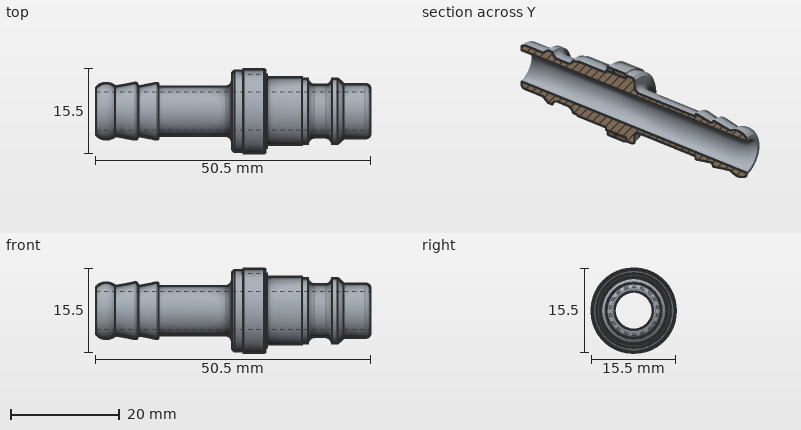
import cadquery as cq
import math


total_length = 50.5
hose_end_x = -total_length / 2
bore_diameter = 7.0

tail_diameter = 9.1
tail_length = 25.0
bead_diameter = 10.4
bead_radius = 2.4
bead_peak = 1.9
barb_tip_diameter = 10.56
barb_tip_fillet = 0.3
first_barb_tip = 7.43
second_barb_root = 7.83
second_barb_tip = 11.47

collar_diameter = 15.0
collar_length = 2.0
collar_chamfer = 0.5
collar_fillet = 1.05
seat_diameter = 13.6
seat_length = 4.5

ring_diameter = 15.5
ring_length = 4.1
ring_chamfer = 0.25
ring_gap = 0.1

barrel_diameter = 12.5
barrel_end = 37.9
shoulder_length = 1.05
rib_diameter = 12.0
rib_start = 43.4
rib_width = 1.05
rib_ramp_length = 1.1
neck_diameter = 9.75
nose_diameter = 10.0
nose_fillet = 1.0

bore_r = bore_diameter / 2
tail_r = tail_diameter / 2
bead_r = bead_diameter / 2
barb_tip_r = barb_tip_diameter / 2
collar_r = collar_diameter / 2
seat_r = seat_diameter / 2
barrel_r = barrel_diameter / 2
rib_r = rib_diameter / 2
neck_r = neck_diameter / 2
nose_r = nose_diameter / 2

collar_end = tail_length + collar_length
seat_end = collar_end + seat_length
shoulder_end = barrel_end + shoulder_length
rib_end = rib_start + rib_width
neck_fillet = rib_r - neck_r


def arc_point(center_x, center_r, radius, degrees):
    """Point of a circle in the profile plane; 0 degrees points along +X, 90 points outward."""
    angle = math.radians(degrees)
    return (center_x + radius * math.cos(angle), center_r + radius * math.sin(angle))


def add_hose_tail(profile):
    """Bead, barbs with sharp tips, and the tube with its fillet into the collar."""
    bead_center_r = bead_r - bead_radius
    bead_face_r = bead_center_r + math.sqrt(bead_radius**2 - bead_peak**2)
    bead_end = bead_peak + math.sqrt(bead_radius**2 - (tail_r - bead_center_r) ** 2)
    tube_end = tail_length - collar_fillet
    fillet_top_r = tail_r + collar_fillet
    return (
        profile
        .lineTo(0, bead_face_r)
        .threePointArc((bead_peak, bead_r), (bead_end, tail_r))
        .lineTo(first_barb_tip, barb_tip_r)
        .lineTo(second_barb_root, tail_r)
        .lineTo(second_barb_tip, barb_tip_r)
        .lineTo(second_barb_tip, tail_r)
        .lineTo(tube_end, tail_r)
        .threePointArc(
            arc_point(tube_end, fillet_top_r, collar_fillet, -45),
            (tail_length, fillet_top_r),
        )
    )


def add_collar(profile):
    """Chamfered collar and the ring seat behind it."""
    return (
        profile
        .lineTo(tail_length, collar_r - collar_chamfer)
        .lineTo(tail_length + collar_chamfer, collar_r)
        .lineTo(collar_end, collar_r)
        .lineTo(collar_end, seat_r)
        .lineTo(seat_end, seat_r)
    )


def add_plug_end(profile):
    """Barrel, rounded neck groove, locking rib and rounded nose."""
    neck_start = shoulder_end + neck_fillet
    neck_end = rib_start - neck_fillet
    nose_round_start = total_length - nose_fillet
    nose_face_r = nose_r - nose_fillet
    return (
        profile
        .lineTo(seat_end, barrel_r)
        .lineTo(barrel_end, barrel_r)
        .lineTo(barrel_end, rib_r)
        .lineTo(shoulder_end, rib_r)
        .threePointArc(arc_point(neck_start, rib_r, neck_fillet, -135), (neck_start, neck_r))
        .lineTo(neck_end, neck_r)
        .threePointArc(arc_point(neck_end, rib_r, neck_fillet, -45), (rib_start, rib_r))
        .lineTo(rib_end, rib_r)
        .lineTo(rib_end + rib_ramp_length, nose_r)
        .lineTo(nose_round_start, nose_r)
        .threePointArc(
            arc_point(nose_round_start, nose_face_r, nose_fillet, 45),
            (total_length, nose_face_r),
        )
    )


def round_barb_tip(body, tip):
    """Fillet the sharp circular edge of the barb whose tip lies at this position."""
    reach = 0.01
    tip_edge = cq.selectors.BoxSelector((tip - reach, -reach, -reach), (tip + reach, reach, reach))
    outer_edge = cq.selectors.RadiusNthSelector(-1)
    return body.edges(tip_edge).edges(outer_edge).fillet(barb_tip_fillet)


def make_plug():
    profile = cq.Workplane("XY").moveTo(0, bore_r)
    profile = add_hose_tail(profile)
    profile = add_collar(profile)
    profile = add_plug_end(profile)
    profile = profile.lineTo(total_length, bore_r).close()
    body = profile.revolve(360, (0, 0, 0), (1, 0, 0))
    for tip in (first_barb_tip, second_barb_tip):
        body = round_barb_tip(body, tip)
    return body.translate((hose_end_x, 0, 0))


def make_ring():
    """Ring around the seat, a small gap away from the collar, chamfered on the plug side."""
    blank = (
        cq.Workplane("YZ", origin=(hose_end_x + collar_end + ring_gap, 0, 0))
        .circle(ring_diameter / 2)
        .extrude(ring_length)
        .faces(">X")
        .chamfer(ring_chamfer)
    )
    return blank.faces("<X").workplane().circle(seat_r).cutThruAll()


plug = make_plug()
ring = make_ring()

result = cq.Compound.makeCompound([plug.val(), ring.val()])